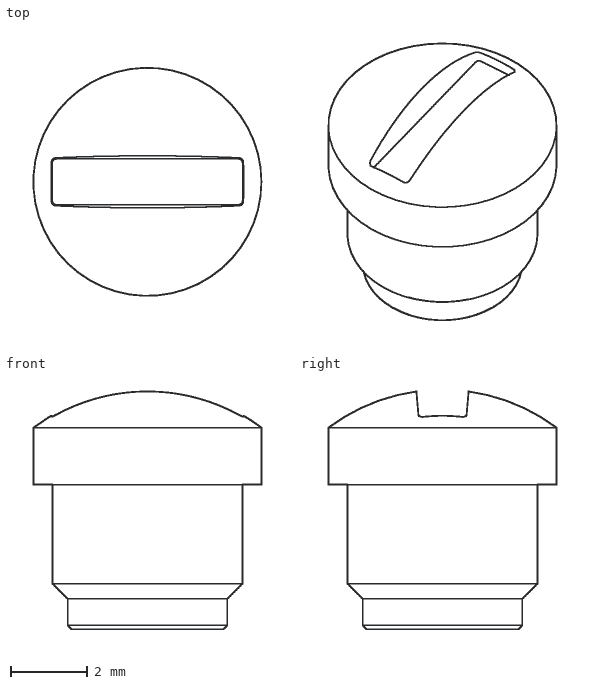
import cadquery as cq
import math

tip_radius = 2.1
tip_height = 0.8
tip_chamfer = 0.1

body_radius = 2.5
body_bottom = tip_height + (body_radius - tip_radius)

head_radius = 3.0
head_bottom = 3.8
head_side_height = 1.5
head_side_top = head_bottom + head_side_height

dome_radius = 5.0
dome_center_z = head_side_top - math.sqrt(dome_radius**2 - head_radius**2)
dome_apex = dome_center_z + dome_radius
dome_mid_angle = math.asin(head_radius / dome_radius) / 2

slot_floor_length = 5.0
slot_floor_width = 1.2
slot_floor_z = head_side_top
slot_corner_radius = 0.1
slot_draft = 5.0


def turned_plug():
    """Solid of revolution: tip, cone, body, head and dome."""
    dome_mid = (
        dome_radius * math.sin(dome_mid_angle),
        dome_center_z + dome_radius * math.cos(dome_mid_angle),
    )
    profile = (
        cq.Workplane("XZ")
        .lineTo(tip_radius - tip_chamfer, 0)
        .lineTo(tip_radius, tip_chamfer)
        .lineTo(tip_radius, tip_height)
        .lineTo(body_radius, body_bottom)
        .lineTo(body_radius, head_bottom)
        .lineTo(head_radius, head_bottom)
        .lineTo(head_radius, head_side_top)
        .threePointArc(dome_mid, (0, dome_apex))
        .close()
    )
    return profile.revolve(360, (0, 0), (0, 1))


def slot_cutter():
    """Drafted slot volume from the slot floor up to the dome apex."""
    floor_outline = cq.Sketch().rect(slot_floor_length, slot_floor_width).vertices().fillet(slot_corner_radius)
    return (
        cq.Workplane("XY")
        .workplane(offset=slot_floor_z)
        .placeSketch(floor_outline)
        .extrude(dome_apex - slot_floor_z, taper=-slot_draft)
    )


result = turned_plug().cut(slot_cutter())